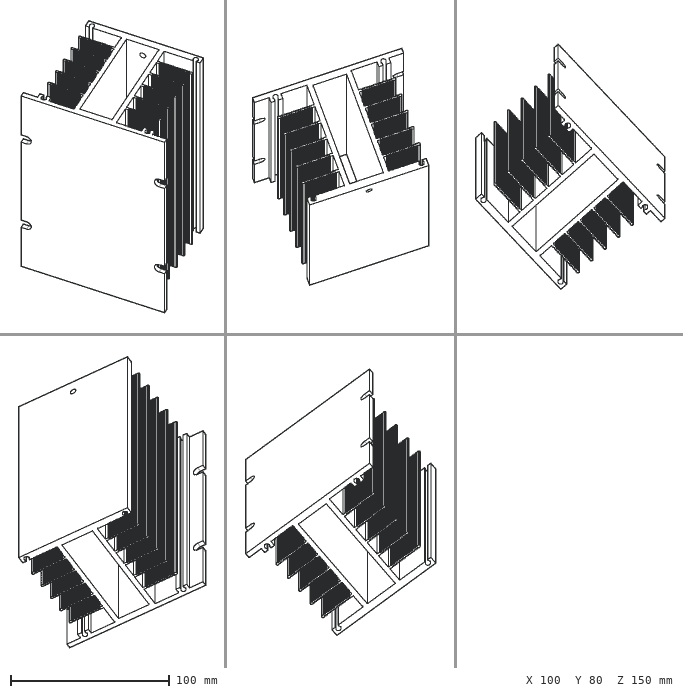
import cadquery as cq

length = 150.0
base_width = 100.0
depth = 80.0
base_thickness = 3.5
back_width = 80.0
back_thickness = 5.1

tube_half_width = 14.8
cavity_half_width = 11.2
cavity_floor = 4.8

fin_count = 5
fin_pitch = 11.5
first_fin_y = 18.0
fin_tip_x = 39.6
fin_thickness = 1.6
groove_pitch = 1.2
groove_depth = 0.3
groove_count = 18
smooth_tip = 1.6
tip_chamfer = 0.5

channel_x = 36.2
channel_radius = 1.6
channel_opening = 2.2
base_channel_y = 4.4
back_channel_inset = 3.3
boss_width = 8.0
boss_top = 6.9

slot_width = 6.3
slot_depth = 7.0
slot_heights = (length / 4, length * 3 / 4)
hole_diameter = 3.9
hole_from_end = 9.8

back_inner_y = depth - back_thickness


def block(x_min, x_max, y_min, y_max):
    """Full-length bar with a rectangular cross-section."""
    bar = cq.Workplane("XY").box(x_max - x_min, y_max - y_min, length, centered=False)
    return bar.translate((x_min, y_min, 0))


def both_sides(body):
    """The body together with its mirror image across the YZ plane."""
    return body.union(body.mirror("YZ"))


def serrated_fin(center_y):
    """Fin on the +X side, with chamfered tip and flat-bottomed grooves along both faces."""
    face = fin_thickness / 2
    groove_bottom = face - groove_depth
    quarter_pitch = groove_pitch / 4
    upper = [(fin_tip_x, face - tip_chamfer), (fin_tip_x - tip_chamfer, face)]
    for i in range(groove_count):
        groove_x = fin_tip_x - smooth_tip - i * groove_pitch
        upper.append((groove_x, face))
        upper.append((groove_x - quarter_pitch, groove_bottom))
        upper.append((groove_x - 2 * quarter_pitch, groove_bottom))
        upper.append((groove_x - 3 * quarter_pitch, face))
    root_x = (tube_half_width + cavity_half_width) / 2
    upper.append((root_x, face))
    lower = [(x, -y) for x, y in reversed(upper)]
    fin = cq.Workplane("XY").polyline(upper + lower).close().extrude(length)
    return fin.translate((0, center_y, 0))


def screw_channel(center_y, mouth_y):
    """Round channel with a narrower opening that reaches mouth_y."""
    bore = cq.Workplane("XY").center(channel_x, center_y).circle(channel_radius).extrude(length)
    y_min, y_max = sorted((center_y, mouth_y))
    opening = block(channel_x - channel_opening / 2, channel_x + channel_opening / 2, y_min, y_max)
    return bore.union(opening)


def base_slot(height):
    """Round-ended slot through the base plate, open at its +X edge."""
    edge_x = base_width / 2
    slot_length = 2 * slot_depth
    return (
        cq.Workplane("XZ", origin=(edge_x, 0, height))
        .slot2D(slot_length, slot_width)
        .extrude(-base_thickness)
    )


result = block(-base_width / 2, base_width / 2, 0, base_thickness)
result = result.union(block(-back_width / 2, back_width / 2, back_inner_y, depth))
result = result.union(block(-tube_half_width, tube_half_width, 0, depth))
result = result.cut(block(-cavity_half_width, cavity_half_width, cavity_floor, back_inner_y))

for i in range(fin_count):
    result = result.union(both_sides(serrated_fin(first_fin_y + i * fin_pitch)))

boss = block(channel_x - boss_width / 2, channel_x + boss_width / 2, 0, boss_top)
result = result.union(both_sides(boss))
result = result.cut(both_sides(screw_channel(base_channel_y, boss_top)))
result = result.cut(both_sides(screw_channel(depth - back_channel_inset, back_inner_y)))

for height in slot_heights:
    result = result.cut(both_sides(base_slot(height)))

back_hole = (
    cq.Workplane("XZ", origin=(0, back_inner_y, length - hole_from_end))
    .circle(hole_diameter / 2)
    .extrude(-back_thickness)
)
result = result.cut(back_hole)